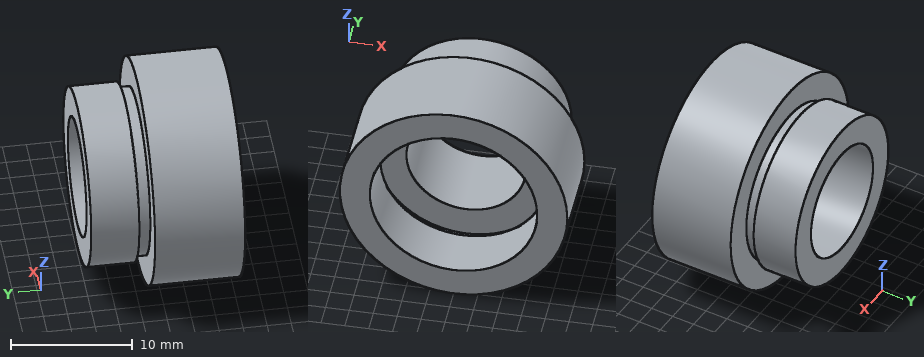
import cadquery as cq

body_diameter = 19.05
spigot_diameter = 15.0
neck_diameter = 14.0
bore_diameter = 10.0
socket_diameter = 14.0

total_length = 12.5
body_length = 7.5
neck_length = 1.0
socket_depth = 5.5
relief_length = 1.0
relief_diameter = 15.2

spigot_length = total_length - body_length - neck_length
front_y = -total_length / 2


def cylinder(diameter, start, length):
    """Cylinder along +Y, starting a given distance behind the front face."""
    base = cq.Plane(origin=(0, front_y + start, 0), xDir=(1, 0, 0), normal=(0, 1, 0))
    return cq.Workplane(base).circle(diameter / 2).extrude(length)


body = cylinder(body_diameter, 0, body_length)
neck = cylinder(neck_diameter, body_length, neck_length)
spigot = cylinder(spigot_diameter, body_length + neck_length, spigot_length)

bore = cylinder(bore_diameter, 0, total_length)
socket = cylinder(socket_diameter, 0, socket_depth)
relief = cylinder(relief_diameter, socket_depth - relief_length, relief_length)

result = body.union(neck).union(spigot).cut(bore).cut(socket).cut(relief)